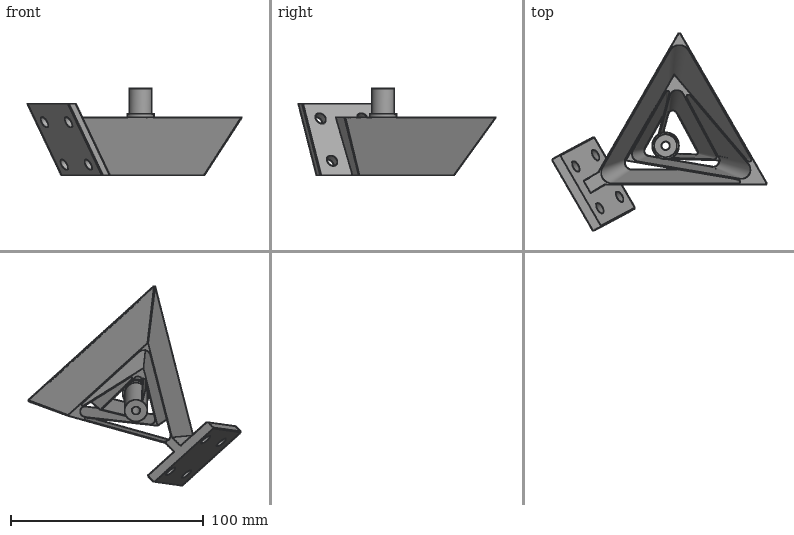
import cadquery as cq
import math

frame_height = 30.0
bottom_scale = 0.63

outer_side = 91.5
outer_right = (52.9, -20.1)
outer_left = (outer_right[0] - outer_side, outer_right[1])
outer_apex = (outer_right[0] - outer_side / 2, outer_right[1] + outer_side * math.sqrt(3) / 2)
tip_flat = 0.8
middle_left = (-20.7, -7.7)
middle_apex = (4.5, 37.0)
inner_left = (-7.0, -6.6)
inner_right = (28.4, -7.7)
wall = 0.7
outer_corner_radius = 5.6
middle_left_radius = 3.9
middle_right_radius = 4.7
inner_apex_radius = 3.7
inner_right_radius = 1.1
slot_radius = 0.95
steep_slot_radius = 1.1
inner_left_radius = 5.9

post_height = 45.0
post_diameter = 11.8
post_bore = 4.2
collar_diameter = 13.9
collar_top = 31.8
collar_height = 2.9

plate_height = 37.2
plate_length = 42.9
plate_chamfer = 0.5
plate_depth = 4.9
plate_top_centre = (-48.3, -25.7)
plate_lean = 20.0
plate_heading = 30
hole_diameter = 6.0
hole_spacing = 24.9
hole_centre_height = 16.5

neck_width = 7.3
neck_outside = 6.1
neck_inside = neck_width / 2 * math.sqrt(3)


def direction(start, end):
    length = math.dist(start, end)
    return ((end[0] - start[0]) / length, (end[1] - start[1]) / length)


def along(point, heading, distance):
    return (point[0] + heading[0] * distance, point[1] + heading[1] * distance)


def crossing(first, second):
    """Intersection of two lines, each given by two points."""
    a, b = first
    c, d = second
    u = direction(a, b)
    v = direction(c, d)
    distance = ((c[0] - a[0]) * v[1] - (c[1] - a[1]) * v[0]) / (u[0] * v[1] - u[1] * v[0])
    return along(a, u, distance)


def inset(start, end):
    """Line moved one wall thickness to its left."""
    u = direction(start, end)
    left = (-u[1], u[0])
    return along(start, left, wall), along(end, left, wall)


def rounded_wire(corners, scale, height):
    """Closed outline of (point, radius) corners, scaled about the Z axis."""
    stops = []
    for i, (point, radius) in enumerate(corners):
        if radius == 0:
            stops.append((point,))
            continue
        back = direction(point, corners[i - 1][0])
        ahead = direction(point, corners[(i + 1) % len(corners)][0])
        half_angle = math.acos(back[0] * ahead[0] + back[1] * ahead[1]) / 2
        bisector = direction((0, 0), (back[0] + ahead[0], back[1] + ahead[1]))
        reach = radius / math.tan(half_angle)
        middle = along(point, bisector, radius / math.sin(half_angle) - radius)
        stops.append((along(point, back, reach), middle, along(point, ahead, reach)))
    stops = [[(x * scale, y * scale) for x, y in stop] for stop in stops]
    path = cq.Workplane("XY", origin=(0, 0, height)).moveTo(*stops[0][-1])
    for stop in stops[1:] + stops[:1]:
        path = path.lineTo(*stop[0])
        if len(stop) == 3:
            path = path.threePointArc(*stop[1:])
    return path.wire().val()


def tapered(corners):
    """Full-height solid whose section shrinks toward the post axis."""
    bottom = rounded_wire(corners, bottom_scale, 0)
    top = rounded_wire(corners, 1, frame_height)
    return cq.Workplane(cq.Solid.makeLoft([bottom, top], True))


def make_outer_body():
    tips = [outer_left, outer_right, outer_apex]
    corners = []
    for i, tip in enumerate(tips):
        for neighbour in (tips[i - 1], tips[(i + 1) % 3]):
            corners.append((along(tip, direction(tip, neighbour), tip_flat), 0))
    return tapered(corners)


def make_neck():
    heading = direction((0, 0), (math.sqrt(3), 1))
    side = (-heading[1], heading[0])
    corners = []
    for reach, offset in ((-neck_outside, -1), (neck_inside, -1), (neck_inside, 1), (-neck_outside, 1)):
        corners.append((along(along(outer_left, heading, reach), side, offset * neck_width / 2), 0))
    return tapered(corners)


def make_pockets():
    outer_base = inset(outer_left, outer_right)
    outer_slope = inset(outer_right, outer_apex)
    outer_back = inset(outer_apex, outer_left)
    middle_base = inset(middle_left, outer_right)
    middle_slope = inset(outer_right, middle_apex)
    middle_back = inset(middle_apex, middle_left)
    inner_base = inset(inner_left, inner_right)
    inner_slope = inset(inner_right, middle_apex)
    inner_back = inset(middle_apex, inner_left)

    outer_pocket = [
        (crossing(outer_back, outer_base), outer_corner_radius),
        (crossing(outer_base, (middle_left, outer_right)), slot_radius),
        (middle_left, 0),
        (middle_apex, 0),
        (crossing(outer_slope, (middle_apex, outer_right)), steep_slot_radius),
        (crossing(outer_slope, outer_back), outer_corner_radius),
    ]
    middle_pocket = [
        (crossing(middle_back, middle_base), middle_left_radius),
        (crossing(middle_base, middle_slope), middle_right_radius),
        (crossing(middle_slope, (inner_right, middle_apex)), steep_slot_radius),
        (inner_right, 0),
        (inner_left, inner_left_radius),
        (crossing(middle_back, (inner_left, middle_apex)), slot_radius),
    ]
    inner_pocket = [
        (crossing(inner_back, inner_base), inner_left_radius - wall),
        (crossing(inner_base, inner_slope), inner_right_radius),
        (crossing(inner_slope, inner_back), inner_apex_radius),
    ]
    return [tapered(outer_pocket), tapered(middle_pocket), tapered(inner_pocket)]


def make_plate():
    inward = direction(plate_top_centre, (0, 0))
    top_wire, bottom_wire = [
        cq.Workplane("XY", origin=(*along(plate_top_centre, inward, shift), height))
        .transformed(rotate=(0, 0, plate_heading))
        .center(plate_depth / 2, 0)
        .rect(plate_depth, plate_length)
        .wire().val()
        for shift, height in ((0, plate_height), (plate_lean, 0))
    ]
    plate = cq.Workplane(cq.Solid.makeLoft([bottom_wire, top_wire], True))
    plate = plate.edges("not #Z").chamfer(plate_chamfer)

    heading = math.radians(plate_heading)
    lean = math.atan(plate_lean / plate_height)
    face_shift = plate_lean * (1 - hole_centre_height / plate_height)
    face = cq.Plane(
        origin=(*along(plate_top_centre, inward, face_shift), hole_centre_height),
        xDir=(-math.sin(heading), math.cos(heading), 0),
        normal=(math.cos(heading) * math.cos(lean), math.sin(heading) * math.cos(lean), math.sin(lean)),
    )
    holes = (
        cq.Workplane(face)
        .rect(hole_spacing, hole_spacing, forConstruction=True)
        .vertices()
        .circle(hole_diameter / 2)
        .extrude(plate_depth, both=True)
    )
    return plate.cut(holes)


def make_post():
    post = cq.Workplane("XY").circle(post_diameter / 2).extrude(post_height)
    collar = (
        cq.Workplane("XY", origin=(0, 0, collar_top - collar_height))
        .circle(collar_diameter / 2)
        .extrude(collar_height)
    )
    return post.union(collar)


frame = make_outer_body().union(make_neck())
for pocket in make_pockets():
    frame = frame.cut(pocket)

bore = cq.Workplane("XY").circle(post_bore / 2).extrude(post_height)
result = frame.union(make_plate()).union(make_post()).cut(bore)